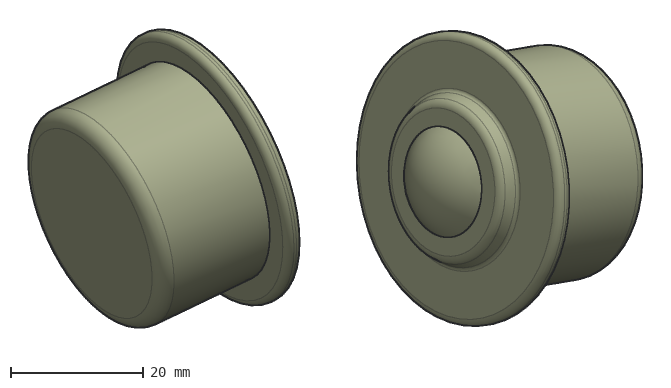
import cadquery as cq
import math

flange_diameter = 45.0
flange_thickness = 2.92
flange_edge_radius = 1.2
cup_diameter = 36.0
cup_depth = 20.3
cup_edge_radius = 2.4
collar_base_diameter = 27.1
collar_height = 2.75
collar_taper_angle = 25.0
collar_edge_radius = 1.5
collar_root_radius = 0.68
ball_diameter = 21.95
ball_protrusion = 4.0

collar_top = flange_thickness + collar_height
ball_center = collar_top + ball_protrusion - ball_diameter / 2
collar_taper = collar_height * math.tan(math.radians(collar_taper_angle))
collar_top_diameter = collar_base_diameter - 2 * collar_taper


def disc(diameter, start, length):
    """Cylinder along +Y, beginning at Y = start."""
    axis_plane = cq.Workplane(cq.Plane((0, start, 0), (1, 0, 0), (0, 1, 0)))
    return axis_plane.circle(diameter / 2).extrude(length)


def make_cup():
    return disc(cup_diameter, -cup_depth, cup_depth).faces("<Y").edges().fillet(cup_edge_radius)


def make_flange():
    return disc(flange_diameter, 0, flange_thickness).faces("<Y or >Y").edges().fillet(flange_edge_radius)


def make_collar():
    profile = [
        (0, flange_thickness),
        (collar_base_diameter / 2, flange_thickness),
        (collar_top_diameter / 2, collar_top),
        (0, collar_top),
    ]
    cone = cq.Workplane("XY").polyline(profile).close().revolve(360, (0, 0, 0), (0, 1, 0))
    return cone.faces(">Y").edges().fillet(collar_edge_radius)


def make_ball():
    return cq.Workplane("XY").sphere(ball_diameter / 2).translate((0, ball_center, 0))


housing = make_cup().union(make_flange()).union(make_collar())

flange_top = housing.faces("+Y").faces("<Y")
root_edge = flange_top.edges(cq.selectors.RadiusNthSelector(0))
housing = root_edge.fillet(collar_root_radius)

result = housing.union(make_ball())